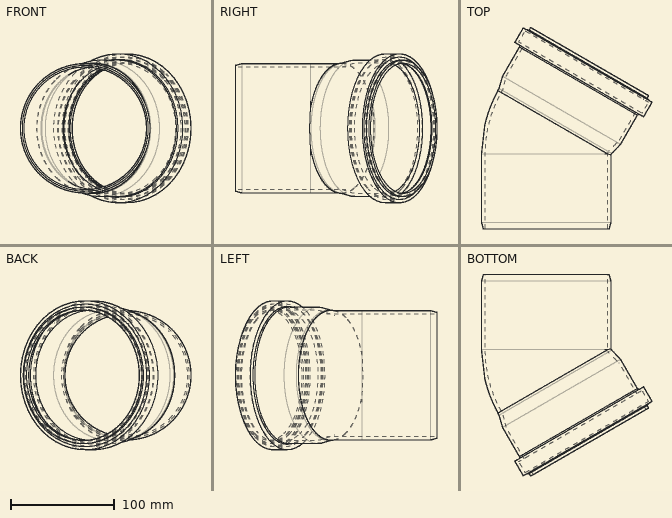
import cadquery as cq

pipe_radius = 125.2 / 2
bore_radius = 118.4 / 2
tip_radius = 121.7 / 2
tip_taper_length = 6.5
spigot_length = 72.5
bend_radius = 62.8
bend_angle = 30

bell_radius = 131.8 / 2
bell_bore_radius = 125.8 / 2
neck_radius = 126.0 / 2
neck_start = -1.5
outer_cone_start = 0.8
outer_cone_end = 12.7
bore_cone_start = 1.8
bore_cone_end = 14.8
collar_radius = 144.0 / 2
collar_start = 46.8
collar_end = 63.2
collar_root_radius = 133.4 / 2
collar_root_start = 45.2
collar_shoulder_radius = 137.7 / 2
lip_start = 64.2
lip_end = 67.0
seal_groove_radius = 137.7 / 2
seal_groove_start = 49.1
seal_groove_end = 61.5
lip_taper_radius = 127.1 / 2
lip_taper_end = 63.0


def revolve_about_y(outline):
    """Solid turned about the Y axis from (radius, distance) points."""
    profile = cq.Workplane("XY").polyline(outline).close()
    return profile.revolve(360, (0, 0, 0), (0, 1, 0))


def bend(radius):
    """Bent bar whose start is centred at the end of the spigot."""
    section = cq.Workplane("XZ", origin=(0, spigot_length, 0)).circle(radius)
    return section.revolve(bend_angle, (bend_radius, 2, 0), (bend_radius, 0, 0))


def place_on_bend(socket):
    """Move a socket body from the origin to the outlet of the bend."""
    pivot = (bend_radius, spigot_length, 0)
    pivot_top = (bend_radius, spigot_length, 1)
    return socket.translate((0, spigot_length, 0)).rotate(pivot, pivot_top, -bend_angle)


spigot_outside = revolve_about_y([
    (0, 0),
    (tip_radius, 0),
    (pipe_radius, tip_taper_length),
    (pipe_radius, spigot_length),
    (0, spigot_length),
])
spigot_bore = cq.Workplane("XZ").circle(bore_radius).extrude(-spigot_length)

socket_outside = revolve_about_y([
    (0, neck_start),
    (neck_radius, neck_start),
    (neck_radius, outer_cone_start),
    (bell_radius, outer_cone_end),
    (bell_radius, collar_root_start),
    (collar_root_radius, collar_start),
    (collar_radius, collar_start),
    (collar_radius, collar_end),
    (collar_shoulder_radius, collar_end),
    (bell_radius, lip_start),
    (bell_radius, lip_end),
    (0, lip_end),
])
socket_bore = revolve_about_y([
    (0, 0),
    (bore_radius, 0),
    (bore_radius, bore_cone_start),
    (bell_bore_radius, bore_cone_end),
    (bell_bore_radius, seal_groove_start),
    (seal_groove_radius, seal_groove_start),
    (seal_groove_radius, seal_groove_end),
    (lip_taper_radius, seal_groove_end),
    (bell_bore_radius, lip_taper_end),
    (bell_bore_radius, lip_end),
    (0, lip_end),
])

outside = spigot_outside.union(bend(pipe_radius)).union(place_on_bend(socket_outside))

result = outside.cut(spigot_bore).cut(bend(bore_radius)).cut(place_on_bend(socket_bore))